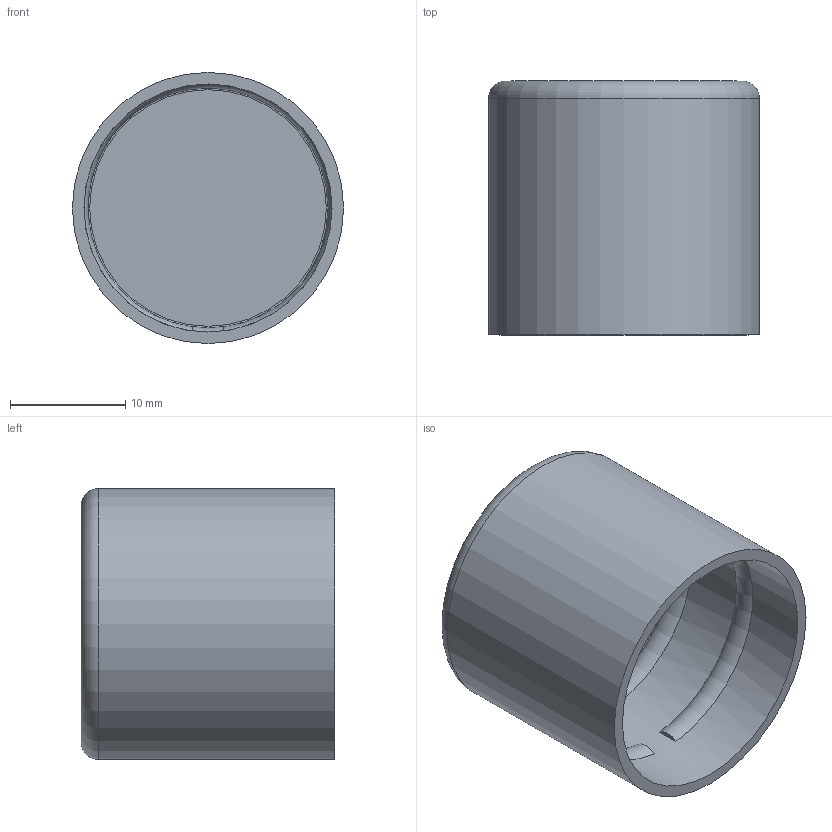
import cadquery as cq

outer_radius = 11.75
length = 22.0
wall = 1.0
outer_edge_radius = 1.5

bore_radius = outer_radius - wall
floor_fillet_radius = outer_edge_radius - wall
mouth_y = -length / 2
end_y = length / 2
floor_y = end_y - wall

bead_height = 0.35
bead_width = 2.0
bead_root_depth = 0.3
front_bead_y = mouth_y + 6.5
rear_bead_y = front_bead_y + 7.5
front_bead_gap = 2.6


def cylinder_along_y(radius, start_y, stop_y):
    return (
        cq.Workplane("XZ", origin=(0, start_y, 0))
        .circle(radius)
        .extrude(start_y - stop_y)
    )


def make_shell():
    body = cylinder_along_y(outer_radius, mouth_y, end_y)
    body = body.faces(">Y").edges().fillet(outer_edge_radius)
    cavity = cylinder_along_y(bore_radius, mouth_y, floor_y)
    cavity = cavity.faces(">Y").edges().fillet(floor_fillet_radius)
    return body.cut(cavity)


def make_bead(center_y):
    """Full ring with an arc-shaped crest, revolved about the Y axis."""
    near_y = center_y - bead_width / 2
    far_y = center_y + bead_width / 2
    root_radius = bore_radius + bead_root_depth
    crest_radius = bore_radius - bead_height
    return (
        cq.Workplane("XY")
        .moveTo(root_radius, near_y)
        .lineTo(bore_radius, near_y)
        .threePointArc((crest_radius, center_y), (bore_radius, far_y))
        .lineTo(root_radius, far_y)
        .close()
        .revolve(360, (0, 0, 0), (0, 1, 0))
    )


def make_split_bead(center_y, gap_width):
    """Bead interrupted by a parallel-sided gap at -Z."""
    gap = cq.Workplane("XY", origin=(0, center_y, -outer_radius / 2)).box(
        gap_width, bead_width, outer_radius
    )
    return make_bead(center_y).cut(gap)


result = (
    make_shell()
    .union(make_split_bead(front_bead_y, front_bead_gap))
    .union(make_bead(rear_bead_y))
)